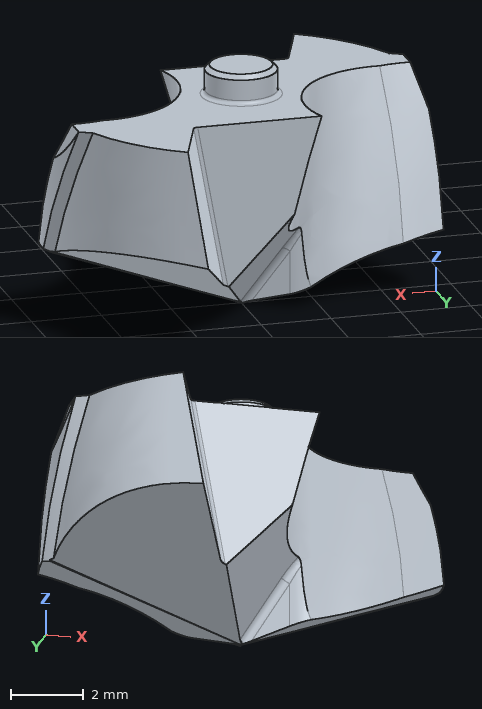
import cadquery as cq
import math


margin_radius = 5.6
relief_radius = 5.35
tip_depth = 6.07
twist_rate = 5.714
relief_start_angle = 24.5
relief_end_angle = 95.0
margin_heel_angle = 21.2

flute_center = (4.17, -1.53)
flute_radius = 2.77
flute_inner_angle = 217.0
flute_outer_angle = 87.0
flute_crest = (4.9, 1.31)
flute_lip_angle = 13.4

notch_floor = 2.53
notch_floor_draft = 0.6 / 42.5
notch_corner = (2.07, notch_floor, 0)
notch_wall_normal = (-546, 201, 99)
notch_corner_radius = 0.15

secondary_slopes = (0.365, 0.39)
primary_slopes = (0.36, 0.06)
gash_slopes = (1.02, -0.98)
gash_wall_bend = (1.18, -0.77)
gash_wall_middle = (1.59, -0.91)
gash_wall_end = (2.07, -0.81)
gash_root_radius = 0.22

bevel_offset = 5.22
bevel_slope = 3.4 / 11.6

pin_radius = 1.01
pin_height = 0.84
pin_chamfer = 0.13
pin_fillet = 0.12

span = 16.8


def polar(radius, angle, center=(0, 0)):
    a = math.radians(angle)
    return (center[0] + radius * math.cos(a), center[1] + radius * math.sin(a))


def half_turn(shape):
    return shape.rotate((0, 0, 0), (0, 0, 1), 180)


def half_space(point, normal):
    """Large block lying on the side of a plane that the normal points to."""
    plane = cq.Plane(origin=point, normal=normal)
    return cq.Workplane(plane).rect(2 * span, 2 * span).extrude(span)


def below_tip_plane(slopes):
    return half_space((0, 0, -tip_depth), (slopes[0], slopes[1], -1))


def twisted_blank():
    """Fluted section, twisted so that it turns counter-clockwise going up."""
    def turned(point, turn):
        return (point[0] * turn, point[1] * turn)

    flute_middle_angle = (flute_inner_angle + flute_outer_angle) / 2
    margin_middle_angle = (flute_lip_angle + margin_heel_angle) / 2
    relief_middle_angle = (relief_start_angle + relief_end_angle) / 2
    flute_start = polar(flute_radius, flute_inner_angle, flute_center)
    section = cq.Workplane("XY").moveTo(*flute_start)
    for turn, next_turn in ((1, -1), (-1, 1)):
        arcs = (
            (polar(flute_radius, flute_middle_angle, flute_center),
             polar(flute_radius, flute_outer_angle, flute_center)),
            (flute_crest, polar(margin_radius, flute_lip_angle)),
            (polar(margin_radius, margin_middle_angle), polar(margin_radius, margin_heel_angle)),
        )
        for middle, end in arcs:
            section = section.threePointArc(turned(middle, turn), turned(end, turn))
        section = section.lineTo(*turned(polar(relief_radius, relief_start_angle), turn))
        section = section.threePointArc(
            turned(polar(relief_radius, relief_middle_angle), turn),
            turned(polar(relief_radius, relief_end_angle), turn),
        )
        if next_turn == -1:
            section = section.lineTo(*turned(flute_start, next_turn))
    twist = twist_rate * tip_depth
    blank = section.close().twistExtrude(tip_depth, twist)
    return blank.rotate((0, 0, 0), (0, 0, 1), -twist).translate((0, 0, -tip_depth))


def chip_notch():
    """Corner between the notch floor and the slanted wall behind the relief."""
    floor_side = half_space((0, notch_floor, 0), (0, 1, -notch_floor_draft))
    notch = floor_side.intersect(half_space(notch_corner, notch_wall_normal))
    corner_edge = cq.selectors.NearestToPointSelector(notch_corner)
    return notch.edges(corner_edge).fillet(notch_corner_radius)


def point_quadrant(slopes, side_y):
    """Stock below one point plane, over the quadrant x > 0 on the given side of y = 0."""
    quadrant = cq.Workplane("XY").box(span, span, 2 * span).translate((span / 2, side_y * span / 2, 0))
    return below_tip_plane(slopes).intersect(quadrant)


def gash():
    """Web-thinning gash under the +X lobe: steep wall through the tip and sloping floor."""
    prism = (
        cq.Workplane("XY").workplane(offset=-span / 2)
        .moveTo(-span / 2, 0).lineTo(0, 0).lineTo(*gash_wall_bend)
        .threePointArc(gash_wall_middle, gash_wall_end)
        .lineTo(gash_wall_end[0], -span / 2).lineTo(-span / 2, -span / 2).close()
        .extrude(span)
    )
    tool = prism.intersect(below_tip_plane(gash_slopes))
    root_x = gash_wall_bend[0] / 2
    root_y = gash_wall_bend[1] / 2
    root_z = gash_slopes[0] * root_x + gash_slopes[1] * root_y - tip_depth
    root = cq.selectors.NearestToPointSelector((root_x, root_y, root_z))
    return tool.edges(root).fillet(gash_root_radius)


def margin_bevel():
    return half_space((bevel_offset, 0, 0), (1, 0, bevel_slope))


def pin():
    post = cq.Workplane("XY").circle(pin_radius).extrude(pin_height).faces(">Z").chamfer(pin_chamfer)
    flare = (
        cq.Workplane("XZ").lineTo(pin_radius + pin_fillet, 0)
        .radiusArc((pin_radius, pin_fillet), pin_fillet)
        .lineTo(0, pin_fillet).close()
        .revolve(360, (0, 0, 0), (0, 1, 0))
    )
    return post.union(flare)


cuts = (
    chip_notch(),
    point_quadrant(secondary_slopes, 1),
    point_quadrant(primary_slopes, -1),
    gash(),
    margin_bevel(),
)
body = twisted_blank()
for cut in cuts:
    body = body.cut(cut).cut(half_turn(cut))
result = body.union(pin())